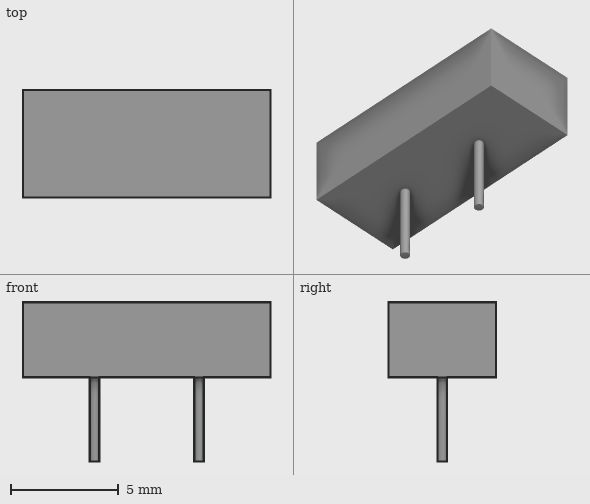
import cadquery as cq

housing_length = 11.5
housing_width = 5.0
housing_height = 3.5

overall_height = 7.41
lead_length = overall_height - housing_height
lead_diameter = 0.46
lead_pitch = 4.85


def make_housing():
    """Plain block standing on the Z = 0 plane."""
    return cq.Workplane("XY").box(
        housing_length, housing_width, housing_height, centered=(True, True, False)
    )


def make_lead(x):
    """Straight round lead hanging from the housing underside at the given X."""
    return cq.Workplane("XY").center(x, 0).circle(lead_diameter / 2).extrude(-lead_length)


housing = make_housing()
leads = [make_lead(side * lead_pitch / 2) for side in (-1, 1)]

result = cq.Compound.makeCompound([housing.val(), *[lead.val() for lead in leads]])